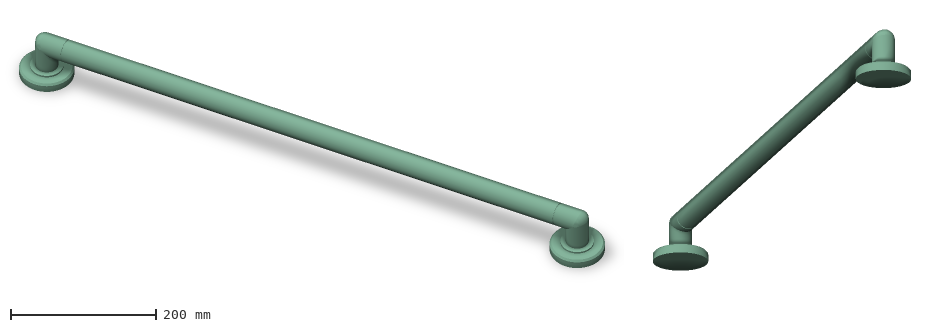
import cadquery as cq

length = 889.0
height = 70.0
flange_diameter = 76.5
post_spacing = length - flange_diameter

tube_diameter = 32.0
tube_radius = tube_diameter / 2
axis_height = height - tube_radius
elbow_reach = 29.0
corner_radius = 11.0
side_sliver = 0.2
joint_width = 2.0
joint_depth = 1.0

flange_thickness = 13.0
flange_chamfer = 3.0
collar_diameter = 46.0
collar_height = 3.0


def flange():
    """Round wall plate with a chamfered rim and a low collar around the post."""
    plate = cq.Workplane("XY").circle(flange_diameter / 2).extrude(flange_thickness)
    plate = plate.faces(">Z").edges().chamfer(flange_chamfer)
    collar_top = flange_thickness + collar_height
    collar = cq.Workplane("XY").circle(collar_diameter / 2).extrude(collar_top)
    return plate.union(collar)


def elbow():
    """Mitred corner of post and rail, with the outer mitre edge rounded."""
    post = cq.Workplane("XY").circle(tube_radius).extrude(height)
    arm = (
        cq.Workplane("YZ", origin=(-tube_radius, 0, 0))
        .center(0, axis_height)
        .circle(tube_radius)
        .extrude(tube_radius + elbow_reach)
    )
    corner = post.intersect(arm)
    lower_post = cq.Workplane("XY").circle(tube_radius).extrude(axis_height)
    inner_arm = (
        cq.Workplane("YZ")
        .center(0, axis_height)
        .circle(tube_radius)
        .extrude(elbow_reach)
    )
    body = lower_post.union(inner_arm).union(corner)

    box_side = 4 * height
    core_width = tube_diameter - 2 * side_sliver
    core_box = cq.Workplane("XY").box(box_side, core_width, box_side)
    core = body.intersect(core_box)
    slivers = body.cut(core_box)
    edge_margin = tube_radius / 4
    outer_mitre = cq.selectors.BoxSelector(
        (-tube_radius, -tube_radius, axis_height + edge_margin),
        (-edge_margin, tube_radius, height),
    )
    return core.edges(outer_mitre).fillet(corner_radius).union(slivers)


def joint_groove_cutter():
    """Ring cutter for the shallow groove where the elbow meets the straight rail."""
    return (
        cq.Workplane("YZ", origin=(elbow_reach - joint_width / 2, 0, 0))
        .center(0, axis_height)
        .circle(tube_diameter)
        .circle(tube_radius - joint_depth)
        .extrude(joint_width)
    )


def half_rail():
    """Straight tube from the elbow to the middle of the rail."""
    return (
        cq.Workplane("YZ", origin=(elbow_reach, 0, 0))
        .center(0, axis_height)
        .circle(tube_radius)
        .extrude(post_spacing / 2 - elbow_reach)
    )


half = elbow().union(half_rail()).cut(joint_groove_cutter()).union(flange())
left_half = half.translate((-post_spacing / 2, 0, 0))
result = left_half.union(left_half.mirror("YZ")).clean()